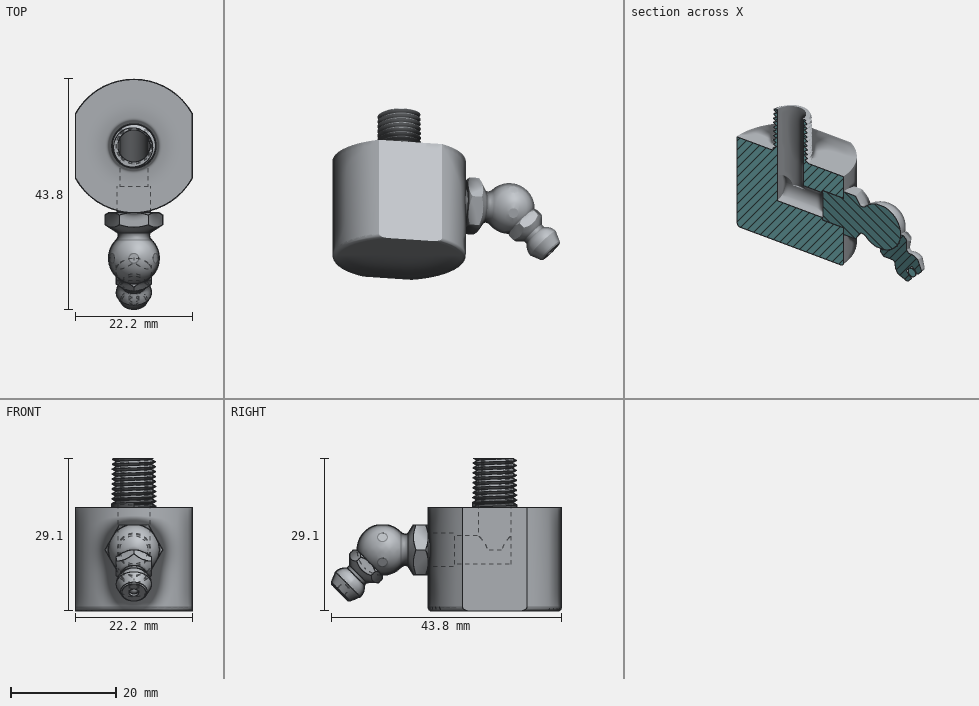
import cadquery as cq
import math

block_diameter = 25.4
block_radius = block_diameter / 2
flat_width = 22.23
total_height = 29.08
thread_pitch = 25.4 / 27
stud_height = 9.33
block_height = total_height - stud_height
bottom_fillet = 0.8
stud_bottom_diameter = 8.45
stud_top_diameter = 8.2
bore_diameter = 6.1
thread_flank_half_angle = math.radians(30)
thread_turns = 10.5
crest_land = 0.02

port_axis_drop = 8.06
port_z = block_height - port_axis_drop
port_diameter = 5.36
shank_diameter = 6.35
shank_length = 5.0

elbow_hex_across_flats = 9.525
elbow_hex_corner_radius = elbow_hex_across_flats / math.sqrt(3)
elbow_hex_start = block_radius
elbow_hex_chamfer_length = 0.45
elbow_hex_chamfer_depth = 0.7
elbow_cone_start = 15.0
elbow_cone_end = 16.56
waist_centre = 17.02
waist_radius = 3.0
ball_centre = 21.37
ball_flat_diameter = 1.86
ball_radius = math.hypot(elbow_hex_across_flats / 2, ball_flat_diameter / 2)

nipple_tilt = math.radians(45)
nipple_hex_across_flats = 6.75
nipple_hex_corner_radius = nipple_hex_across_flats / math.sqrt(3)
nipple_hex_start = 3.45
nipple_hex_chamfer = 0.45
nipple_cone_start = 4.98
nipple_neck_radius = 2.33
nipple_neck_end = 7.19
nipple_head_position = 9.3
nipple_head_radius = 3.37
nipple_tip = 11.5
nipple_tip_radius = 2.29
nipple_tip_chamfer = 0.25
nipple_bore_diameter = 1.86

check_ball_radius = nipple_bore_diameter / 2
check_ball_centre = nipple_tip - check_ball_radius


def on_axis(origin, direction, body):
    """Move a body built along +Z so that its axis runs from origin along direction, keeping X."""
    plane = cq.Plane(origin=origin, xDir=(1, 0, 0), normal=direction)
    return cq.Workplane(body.val().moved(cq.Location(plane)))


def turned(profile):
    """Revolve a half profile, drawn as radius against height in the XZ plane, about Z."""
    return profile.close().revolve(360, (0, 0, 0), (0, 1, 0))


def hex_bar(across_flats, start, end):
    """Hexagonal bar along Z with two corners on the X axis."""
    corner_diameter = across_flats * 2 / math.sqrt(3)
    return cq.Workplane("XY").workplane(offset=start).polygon(6, corner_diameter).extrude(end - start)


def round_bar(diameter, start, end):
    return cq.Workplane("XY").workplane(offset=start).circle(diameter / 2).extrude(end - start)


def thread_groove():
    """V groove that climbs the tapered stud from its foot at -Y and runs out past its top."""
    foot_radius = stud_bottom_diameter / 2
    taper_angle = math.atan((stud_bottom_diameter - stud_top_diameter) / 2 / stud_height)
    overcut = 0.1
    half_mouth = (thread_pitch - crest_land) / 2
    depth = half_mouth / math.tan(thread_flank_half_angle)
    half_outer = half_mouth * (depth + overcut) / depth
    helix = cq.Wire.makeHelix(
        thread_pitch, thread_turns * thread_pitch, foot_radius, angle=-math.degrees(taper_angle)
    )
    groove = (
        cq.Workplane("XZ")
        .polyline([
            (foot_radius - depth, 0),
            (foot_radius + overcut, -half_outer),
            (foot_radius + overcut, half_outer),
        ])
        .close()
        .sweep(cq.Workplane(helix), isFrenet=True)
    )
    first_turn_height = block_height + thread_pitch / 2
    return groove.rotate((0, 0, 0), (0, 0, 1), -90).translate((0, 0, first_turn_height))


def make_base():
    block = round_bar(block_diameter, 0, block_height).faces("<Z").edges().fillet(bottom_fillet)
    flats = cq.Workplane("XY").box(flat_width, 2 * block_diameter, block_height, centered=(True, True, False))
    stud = turned(
        cq.Workplane("XZ").polyline([
            (0, block_height),
            (stud_bottom_diameter / 2, block_height),
            (stud_top_diameter / 2, total_height),
            (0, total_height),
        ])
    ).cut(thread_groove())
    bore = round_bar(bore_diameter, port_z, total_height)
    port = round_bar(port_diameter, -bore_diameter / 2, block_diameter)
    socket = round_bar(shank_diameter, elbow_hex_start - shank_length, block_diameter)
    side_opening = on_axis((0, 0, port_z), (0, -1, 0), port.union(socket))
    return block.intersect(flats).union(stud).cut(bore).cut(side_opening)


def make_elbow():
    offset = ball_centre - waist_centre
    waist_arc_radius = (offset**2 + waist_radius**2 - ball_radius**2) / (2 * (ball_radius - waist_radius))
    arc_centre_radius = waist_radius + waist_arc_radius
    cone_end_drop = math.sqrt(waist_arc_radius**2 - (waist_centre - elbow_cone_end) ** 2)
    tangent_share = ball_radius / (ball_radius + waist_arc_radius)
    ball_start = (arc_centre_radius * tangent_share, ball_centre - offset * tangent_share)

    outline = turned(
        cq.Workplane("XZ")
        .moveTo(0, elbow_hex_start)
        .lineTo(elbow_hex_corner_radius - elbow_hex_chamfer_depth, elbow_hex_start)
        .lineTo(elbow_hex_corner_radius, elbow_hex_start + elbow_hex_chamfer_length)
        .lineTo(elbow_hex_corner_radius, elbow_cone_start)
        .lineTo(arc_centre_radius - cone_end_drop, elbow_cone_end)
        .threePointArc((waist_radius, waist_centre), ball_start)
        .threePointArc((ball_radius, ball_centre), (0, ball_centre + ball_radius))
    )
    bar = hex_bar(elbow_hex_across_flats, elbow_hex_start, ball_centre + ball_radius)
    shank = round_bar(shank_diameter, elbow_hex_start - shank_length, elbow_hex_start)
    return on_axis((0, 0, port_z), (0, -1, 0), outline.intersect(bar).union(shank))


ball_point = (0, -ball_centre, port_z)
nipple_direction = (0, -math.cos(nipple_tilt), -math.sin(nipple_tilt))


def make_nipple():
    neck_start = nipple_cone_start + nipple_hex_corner_radius - nipple_neck_radius
    rise = nipple_head_radius - nipple_neck_radius
    run = nipple_head_position - nipple_neck_end
    shoulder_radius = (rise**2 + run**2) / (2 * rise)
    half_sweep = math.asin(run / shoulder_radius) / 2
    shoulder_middle = (
        nipple_head_radius - shoulder_radius * (1 - math.cos(half_sweep)),
        nipple_head_position - shoulder_radius * math.sin(half_sweep),
    )
    outline = turned(
        cq.Workplane("XZ")
        .moveTo(0, nipple_hex_start)
        .lineTo(nipple_hex_corner_radius - nipple_hex_chamfer, nipple_hex_start)
        .lineTo(nipple_hex_corner_radius, nipple_hex_start + nipple_hex_chamfer)
        .lineTo(nipple_hex_corner_radius, nipple_cone_start)
        .lineTo(nipple_neck_radius, neck_start)
        .lineTo(nipple_neck_radius, nipple_neck_end)
        .threePointArc(shoulder_middle, (nipple_head_radius, nipple_head_position))
        .lineTo(nipple_tip_radius + nipple_tip_chamfer, nipple_tip - nipple_tip_chamfer)
        .lineTo(nipple_tip_radius, nipple_tip)
        .lineTo(0, nipple_tip)
    )
    hexagon = hex_bar(nipple_hex_across_flats, nipple_hex_start, nipple_tip)
    hexagon = hexagon.rotate((0, 0, 0), (0, 0, 1), 90)
    bore = round_bar(nipple_bore_diameter, check_ball_centre - check_ball_radius, nipple_tip)
    seat = cq.Workplane("XY").sphere(ball_radius)
    return on_axis(ball_point, nipple_direction, outline.intersect(hexagon).cut(bore).cut(seat))


def make_check_ball():
    check_ball = cq.Workplane("XY").sphere(check_ball_radius).translate((0, 0, check_ball_centre))
    return on_axis(ball_point, nipple_direction, check_ball)


base = make_base()
elbow = make_elbow()
nipple = make_nipple()
check_ball = make_check_ball()

result = cq.Compound.makeCompound([
    base.solids().val(),
    elbow.solids().val(),
    nipple.solids().val(),
    check_ball.solids().val(),
])